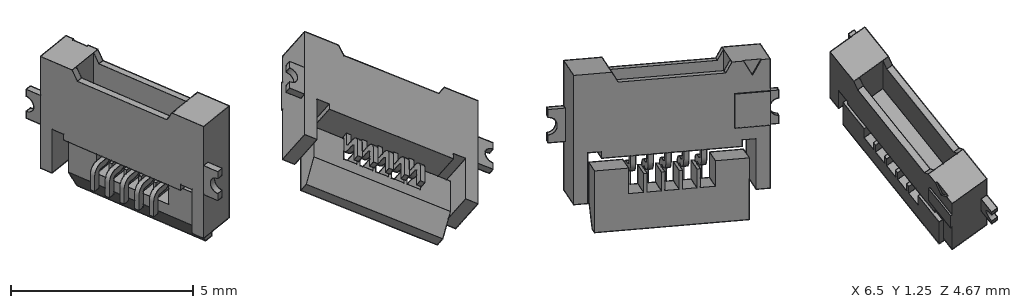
import cadquery as cq
import math


HOUSING_WIDTH = 5.54
HOUSING_DEPTH = 1.195
HOUSING_HEIGHT = 3.795
WALL = 0.195
LEG_WIDTH = 0.395
SHOULDER_Z = 1.49
UNDERSIDE_Z = 1.295
UNDERSIDE_WIDTH = 3.965
CAVITY_WIDTH = 3.38
CAVITY_FLOOR_Z = UNDERSIDE_Z + WALL
LIP_DROP = 0.305
SLOPE_ANGLE = math.radians(60)

PAD_SIDE = 1.0
PAD_BOTTOM_Z = 1.865
MARK_RELIEF = 0.05
NOTCH_WIDTH = 0.5

OVERALL_WIDTH = 6.5
TAB_THICKNESS = 0.2
TAB_HEIGHT = 0.98
TAB_NOTCH_RADIUS = 0.255

SLIDER_WIDTH = 4.36
SLIDER_THICKNESS = 0.7
SLIDER_TIP_THICKNESS = 0.3
SLIDER_TOP_Z = 0.94
SLIDER_BOTTOM_Z = -0.87
WINDOW_WIDTH = 2.445
WINDOW_FLOOR_Z = 0.195
RIB_WIDTH = 0.1
RIB_TOP_Z = 0.75

CONTACT_COUNT = 5
PITCH = 0.5
CONTACT_WIDTH = 0.15
CONTACT_THICKNESS = 0.2
INNER_BEND_RADIUS = 0.1
OUTER_BEND_RADIUS = INNER_BEND_RADIUS + CONTACT_THICKNESS
TREAD_TOP_Z = 0.805
STEM_FRONT_Y = 0.6


def centred_positions(count):
    """X positions of a row of features at the contact pitch, centred on X = 0."""
    return [(i - (count - 1) / 2) * PITCH for i in range(count)]


def block(x_min, x_max, y_min, y_max, z_min, z_max):
    """Box between the given limits."""
    size = (x_max - x_min, y_max - y_min, z_max - z_min)
    return cq.Workplane("XY").box(*size, centered=False).translate((x_min, y_min, z_min))


def centred_block(width, y_min, y_max, z_min, z_max):
    """Box centred on X = 0."""
    return block(-width / 2, width / 2, y_min, y_max, z_min, z_max)


def extrude_back(outline, y_min, y_max):
    """Extrude an outline of (x, z) points between two Y positions."""
    sketch = cq.Workplane("XZ", origin=(0, y_max, 0)).polyline(outline).close()
    return sketch.extrude(y_max - y_min)


def make_housing():
    """Open-topped shell with two legs, a lowered lip, and a pad and a notch on its back."""
    half_width = HOUSING_WIDTH / 2
    half_leg_gap = half_width - LEG_WIDTH
    half_underside = UNDERSIDE_WIDTH / 2
    half_lip_top = CAVITY_WIDTH / 2
    half_lip_bottom = half_lip_top - LIP_DROP / math.tan(SLOPE_ANGLE)
    right_outline = [
        (half_underside, UNDERSIDE_Z),
        (half_underside, SHOULDER_Z),
        (half_leg_gap, SHOULDER_Z),
        (half_leg_gap, 0),
        (half_width, 0),
        (half_width, HOUSING_HEIGHT),
        (half_lip_top, HOUSING_HEIGHT),
        (half_lip_bottom, HOUSING_HEIGHT - LIP_DROP),
    ]
    left_outline = [(-x, z) for x, z in reversed(right_outline)]
    shell = extrude_back(right_outline + left_outline, 0, HOUSING_DEPTH)

    cavity = centred_block(CAVITY_WIDTH, WALL, HOUSING_DEPTH - WALL, CAVITY_FLOOR_Z, HOUSING_HEIGHT)

    pad = block(
        -half_width,
        -half_width + PAD_SIDE,
        HOUSING_DEPTH,
        HOUSING_DEPTH + MARK_RELIEF,
        PAD_BOTTOM_Z,
        PAD_BOTTOM_Z + PAD_SIDE,
    )

    notch_x = -half_width + PAD_SIDE / 2
    notch_height = NOTCH_WIDTH / 2 * math.tan(SLOPE_ANGLE)
    notch_outline = [
        (notch_x - NOTCH_WIDTH / 2, HOUSING_HEIGHT),
        (notch_x + NOTCH_WIDTH / 2, HOUSING_HEIGHT),
        (notch_x, HOUSING_HEIGHT - notch_height),
    ]
    notch = extrude_back(notch_outline, HOUSING_DEPTH - MARK_RELIEF, HOUSING_DEPTH)

    return shell.cut(cavity).union(pad).cut(notch)


def make_tab(side):
    """Solder tab on one side of the housing (-1 left, +1 right) with a half-round end notch."""
    inner_x = side * HOUSING_WIDTH / 2
    outer_x = side * OVERALL_WIDTH / 2
    plate = block(
        min(inner_x, outer_x),
        max(inner_x, outer_x),
        0,
        TAB_THICKNESS,
        SHOULDER_Z,
        SHOULDER_Z + TAB_HEIGHT,
    )
    notch = (
        cq.Workplane("XZ", origin=(outer_x, TAB_THICKNESS, SHOULDER_Z + TAB_HEIGHT / 2))
        .circle(TAB_NOTCH_RADIUS)
        .extrude(TAB_THICKNESS)
    )
    return plate.cut(notch)


def make_slider():
    """Locking bar with a sloped lower front, an open window and ribs between the contacts."""
    front_y = HOUSING_DEPTH - SLIDER_THICKNESS
    tip_y = HOUSING_DEPTH - SLIDER_TIP_THICKNESS
    slope_top_z = SLIDER_BOTTOM_Z + (tip_y - front_y) * math.tan(SLOPE_ANGLE)
    profile = [
        (HOUSING_DEPTH, SLIDER_BOTTOM_Z),
        (HOUSING_DEPTH, SLIDER_TOP_Z),
        (front_y, SLIDER_TOP_Z),
        (front_y, slope_top_z),
        (tip_y, SLIDER_BOTTOM_Z),
    ]
    bar = cq.Workplane("YZ").polyline(profile).close().extrude(SLIDER_WIDTH / 2, both=True)
    slider = bar.cut(centred_block(WINDOW_WIDTH, front_y, HOUSING_DEPTH, WINDOW_FLOOR_Z, SLIDER_TOP_Z))

    rib = centred_block(RIB_WIDTH, front_y, HOUSING_DEPTH, WINDOW_FLOOR_Z, RIB_TOP_Z)
    for x in centred_positions(CONTACT_COUNT - 1):
        slider = slider.union(rib.translate((x, 0, 0)))
    return slider


def make_contact(x):
    """Strip that drops from the housing underside, bends forward, then bends down to the foot."""
    stem_back_y = STEM_FRONT_Y + CONTACT_THICKNESS
    tread_bottom_z = TREAD_TOP_Z - CONTACT_THICKNESS
    turn = INNER_BEND_RADIUS
    sweep = OUTER_BEND_RADIUS
    return (
        cq.Workplane("YZ", origin=(x, 0, 0))
        .moveTo(0, 0)
        .lineTo(0, TREAD_TOP_Z - sweep)
        .radiusArc((sweep, TREAD_TOP_Z), sweep)
        .lineTo(STEM_FRONT_Y - turn, TREAD_TOP_Z)
        .radiusArc((STEM_FRONT_Y, TREAD_TOP_Z + turn), -turn)
        .lineTo(STEM_FRONT_Y, UNDERSIDE_Z)
        .lineTo(stem_back_y, UNDERSIDE_Z)
        .lineTo(stem_back_y, tread_bottom_z + sweep)
        .radiusArc((stem_back_y - sweep, tread_bottom_z), sweep)
        .lineTo(CONTACT_THICKNESS + turn, tread_bottom_z)
        .radiusArc((CONTACT_THICKNESS, tread_bottom_z - turn), -turn)
        .lineTo(CONTACT_THICKNESS, 0)
        .close()
        .extrude(CONTACT_WIDTH / 2, both=True)
    )


housing = make_housing()
slider = make_slider()
tabs = [make_tab(side) for side in (-1, 1)]
contacts = [make_contact(x) for x in centred_positions(CONTACT_COUNT)]

result = cq.Compound.makeCompound(
    [
        housing.val(),
        slider.val(),
        *[tab.val() for tab in tabs],
        *[contact.val() for contact in contacts],
    ]
)